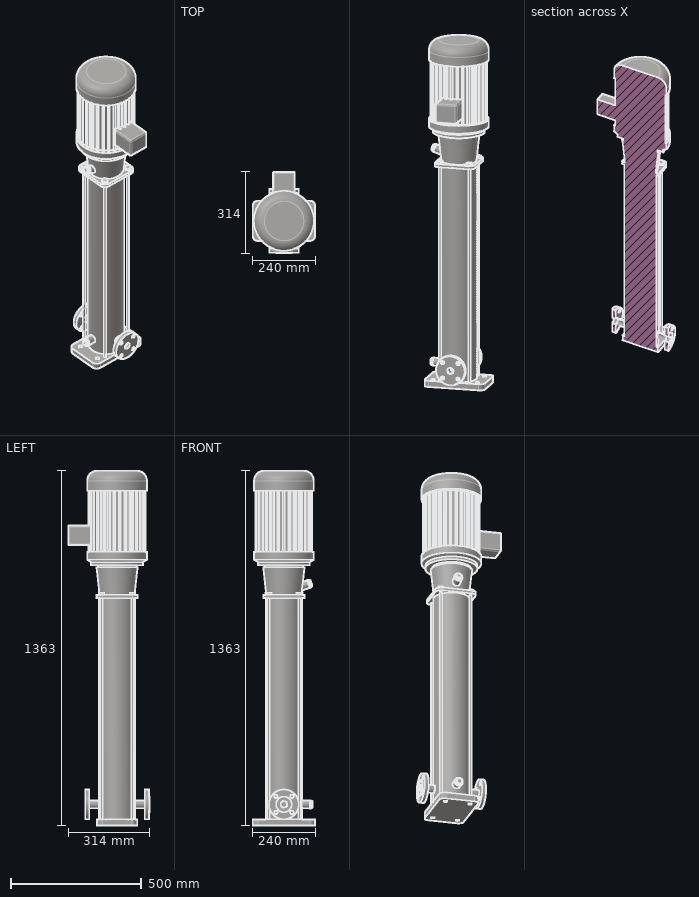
import cadquery as cq
import math

TOTAL_HEIGHT = 1363

BASE_LENGTH = 240.0
BASE_WIDTH = 155.0
BASE_HEIGHT = 25.0
BASE_HOLE_DIAMETER = 14
BASE_HOLE_X = 89.0
BASE_HOLE_Y = 49.0
CORNER_RADIUS = 20.0

SLEEVE_DIAMETER = 140.0
HEAD_SIZE = 160.0
HEAD_TOP = 886
HEAD_THICKNESS = 12.0
ROD_DIAMETER = 10.0
ROD_CIRCLE_DIAMETER = 168.0
ROD_OFFSET = ROD_CIRCLE_DIAMETER / 2 * math.sqrt(0.5)
NUT_WIDTH_ACROSS_CORNERS = 25.0
NUT_HEIGHT = 8.0
NUT_SIDES = 6

PORT_Z = 82
PIPE_DIAMETER = 31.0
BORE_DIAMETER = 25.0
FLANGE_DIAMETER = 115.0
FLANGE_INNER_Y = 106.0
FLANGE_OUTER_Y = 123
FACE_DIAMETER = 60.0
FACE_HEIGHT = 3.0
BOLT_CIRCLE_DIAMETER = 87.0
BOLT_COUNT = 4
BOLT_START_ANGLE = 45
BOLT_HOLE_DIAMETER = 14

PLUG_REACH = 100.0
PLUG_COLLAR_LENGTH = 3.0
PLUG_COLLAR_DIAMETER = 33.0
PLUG_CAP_LENGTH = 10.0
PLUG_CAP_DIAMETER = 29.0
PLUG_CAP_CHAMFER = 4.0
VENT_START_X = 55
VENT_START_Z = 913
VENT_LENGTH = 42.0
VENT_ANGLE = 20

CONE_BOTTOM_DIAMETER = 136
CONE_TOP_DIAMETER = 160.0
CONE_TOP = 992.0
NECK_DIAMETER = 150
MOTOR_FLANGE_DIAMETER = 200.0
MOTOR_FLANGE_BOTTOM = 999.0

MOTOR_DIAMETER = 230.0
SHIELD_BOTTOM = 1011.0
SHIELD_RIM_BOTTOM = 1021.0
FIN_BOTTOM = 1051.0
FIN_TOP = 1285.0
DOME_RADIUS = 40.0
CORE_DIAMETER = 196.0
FIN_DIAMETER = 220.0
FIN_THICKNESS = 7.0
FIN_COUNT = 30
FIN_START_ANGLE = -90

BOX_WIDTH = 85.0
BOX_BOTTOM = 1077
BOX_TOP = 1153.0
BOX_INNER_Y = 55
BOX_OUTER_Y = 188.0
BOX_FILLET = 5.0


def base_plate():
    return (
        cq.Workplane("XY")
        .box(BASE_LENGTH, BASE_WIDTH, BASE_HEIGHT, centered=(True, True, False))
        .edges("|Z")
        .fillet(CORNER_RADIUS)
        .faces(">Z")
        .workplane()
        .rect(2 * BASE_HOLE_X, 2 * BASE_HOLE_Y, forConstruction=True)
        .vertices()
        .hole(BASE_HOLE_DIAMETER)
    )


def sleeve():
    sleeve_length = HEAD_TOP - BASE_HEIGHT
    return cq.Workplane("XY").workplane(offset=BASE_HEIGHT).circle(SLEEVE_DIAMETER / 2).extrude(sleeve_length)


def head_plate():
    return (
        cq.Workplane("XY")
        .workplane(offset=HEAD_TOP - HEAD_THICKNESS)
        .rect(HEAD_SIZE, HEAD_SIZE)
        .extrude(HEAD_THICKNESS)
        .edges("|Z")
        .fillet(CORNER_RADIUS)
    )


def rod_positions(bottom):
    """Workplane at the given height with a point at each tie rod."""
    return (
        cq.Workplane("XY")
        .workplane(offset=bottom)
        .rect(2 * ROD_OFFSET, 2 * ROD_OFFSET, forConstruction=True)
        .vertices()
    )


def tie_rods():
    return rod_positions(BASE_HEIGHT).circle(ROD_DIAMETER / 2).extrude(HEAD_TOP - BASE_HEIGHT)


def rod_nuts():
    return rod_positions(HEAD_TOP).polygon(NUT_SIDES, NUT_WIDTH_ACROSS_CORNERS).extrude(NUT_HEIGHT)


def port(face_height):
    """Flanged pipe stub pointing to -Y, starting at the pump axis."""
    bolt_radius = BOLT_CIRCLE_DIAMETER / 2
    flange_plane = cq.Workplane("XZ", origin=(0, -FLANGE_INNER_Y, PORT_Z))
    pipe = cq.Workplane("XZ", origin=(0, 0, PORT_Z)).circle(PIPE_DIAMETER / 2).extrude(FLANGE_INNER_Y)
    flange = (
        flange_plane.circle(FLANGE_DIAMETER / 2)
        .polarArray(bolt_radius, BOLT_START_ANGLE, 360, BOLT_COUNT)
        .circle(BOLT_HOLE_DIAMETER / 2)
        .extrude(FLANGE_OUTER_Y - FLANGE_INNER_Y)
    )
    stub = pipe.union(flange)
    if face_height > 0:
        face_length = FLANGE_OUTER_Y + face_height - FLANGE_INNER_Y
        stub = stub.union(flange_plane.circle(FACE_DIAMETER / 2).extrude(face_length))
    return stub


def port_bore():
    """Bore running from the sleeve wall out through each port."""
    bore_start = SLEEVE_DIAMETER / 2
    length = FLANGE_OUTER_Y + FACE_HEIGHT - bore_start
    front = cq.Workplane("XZ", origin=(0, -bore_start, PORT_Z)).circle(BORE_DIAMETER / 2).extrude(length)
    return front.union(front.mirror("XZ"))


def plug(length):
    """Round stem along +X from the origin, closed by a collar and a chamfered cap."""
    end_plane = cq.Workplane("YZ").workplane(offset=length)
    stem = cq.Workplane("YZ").circle(PIPE_DIAMETER / 2).extrude(length)
    collar = end_plane.circle(PLUG_COLLAR_DIAMETER / 2).extrude(PLUG_COLLAR_LENGTH)
    cap = (
        end_plane.circle(PLUG_CAP_DIAMETER / 2)
        .extrude(PLUG_COLLAR_LENGTH + PLUG_CAP_LENGTH)
        .faces(">X")
        .chamfer(PLUG_CAP_CHAMFER)
    )
    return stem.union(collar).union(cap)


def drain_plug():
    return plug(PLUG_REACH).translate((0, 0, PORT_Z))


def vent_plug():
    tilted = plug(VENT_LENGTH).rotate((0, 0, 0), (0, 1, 0), -VENT_ANGLE)
    return tilted.translate((VENT_START_X, 0, VENT_START_Z))


def turned_motor():
    """Lantern, motor flange, end shield, fin core and fan cover as one turned body."""
    motor_radius = MOTOR_DIAMETER / 2
    dome_bottom = TOTAL_HEIGHT - DOME_RADIUS
    flat_radius = motor_radius - DOME_RADIUS
    arc_reach = DOME_RADIUS * math.sqrt(0.5)
    return (
        cq.Workplane("XZ")
        .moveTo(0, HEAD_TOP)
        .lineTo(CONE_BOTTOM_DIAMETER / 2, HEAD_TOP)
        .lineTo(CONE_TOP_DIAMETER / 2, CONE_TOP)
        .lineTo(NECK_DIAMETER / 2, CONE_TOP)
        .lineTo(NECK_DIAMETER / 2, MOTOR_FLANGE_BOTTOM)
        .lineTo(MOTOR_FLANGE_DIAMETER / 2, MOTOR_FLANGE_BOTTOM)
        .lineTo(MOTOR_FLANGE_DIAMETER / 2, SHIELD_BOTTOM)
        .lineTo(motor_radius, SHIELD_RIM_BOTTOM)
        .lineTo(motor_radius, FIN_BOTTOM)
        .lineTo(CORE_DIAMETER / 2, FIN_BOTTOM)
        .lineTo(CORE_DIAMETER / 2, FIN_TOP)
        .lineTo(motor_radius, FIN_TOP)
        .lineTo(motor_radius, dome_bottom)
        .threePointArc((flat_radius + arc_reach, dome_bottom + arc_reach), (flat_radius, TOTAL_HEIGHT))
        .lineTo(0, TOTAL_HEIGHT)
        .close()
        .revolve(360, (0, 0, 0), (0, 1, 0))
    )


def cooling_fins():
    """Radial fins, one of them pointing to -Y."""
    inner_radius = CORE_DIAMETER / 2 - FIN_THICKNESS
    fin_length = FIN_DIAMETER / 2 - inner_radius
    return (
        cq.Workplane("XY")
        .workplane(offset=FIN_BOTTOM)
        .polarArray(inner_radius + fin_length / 2, FIN_START_ANGLE, 360, FIN_COUNT)
        .rect(fin_length, FIN_THICKNESS)
        .extrude(FIN_TOP - FIN_BOTTOM)
    )


def terminal_box():
    box_height = BOX_TOP - BOX_BOTTOM
    return (
        cq.Workplane("XY")
        .box(BOX_WIDTH, BOX_OUTER_Y - BOX_INNER_Y, box_height, centered=(True, False, False))
        .translate((0, BOX_INNER_Y, BOX_BOTTOM))
        .edges("|Y or >Y")
        .fillet(BOX_FILLET)
    )


pump = (
    base_plate()
    .union(sleeve())
    .union(tie_rods())
    .union(head_plate())
    .union(rod_nuts())
    .union(port(FACE_HEIGHT))
    .union(port(0).mirror("XZ"))
    .union(drain_plug())
    .cut(port_bore())
)

motor = turned_motor().union(cooling_fins()).union(terminal_box())

result = pump.union(motor).union(vent_plug())